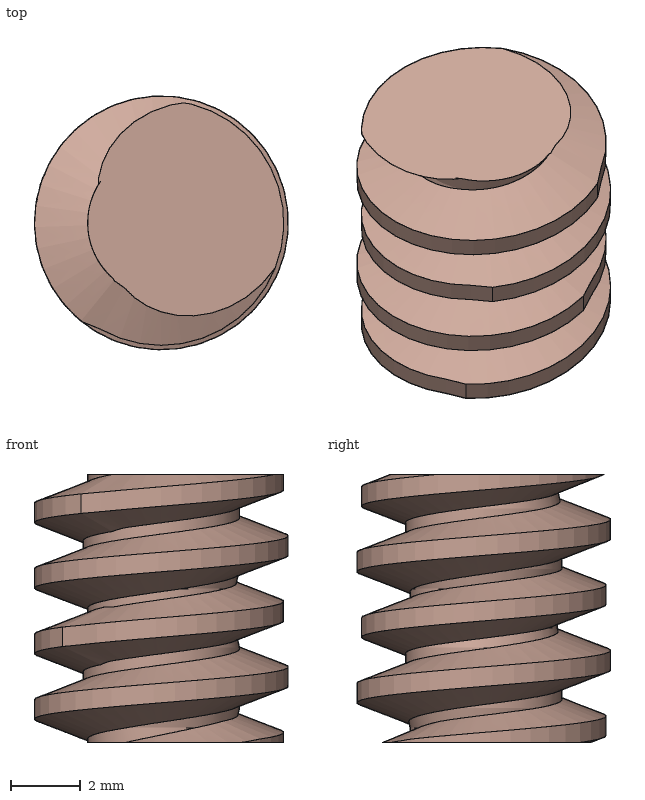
import cadquery as cq
import math

HEIGHT = 7.7
MID_HEIGHT = HEIGHT / 2

COLLAR_RADIUS = 4.49 / 2
RADIUS_STEP = 0.13
SHAFT_RADIUS = COLLAR_RADIUS - RADIUS_STEP
SHOULDER_LENGTH = 0.57
COLLAR_START = 0.42
COLLAR_LENGTH = 2.87
COLLAR_SPACING = HEIGHT - 2 * COLLAR_START - COLLAR_LENGTH

PITCH = 1.88
CREST_RADIUS = 3.645
CREST_WIDTH = 0.56
THREAD_DEPTH = CREST_RADIUS - COLLAR_RADIUS
FLANK_ANGLE = 20.5
BASE_OVERLAP = 0.2
SEGMENT_ANGLE = 9.76
MID_ANGLE = 15.0
RUNOUT_START = 770.0
RUNOUT_PITCH = 2.7

FULL_BAND_START = 0.8
FULL_BAND_END = 3.05


def make_core():
    """Revolve the shaft with its two collars about Z."""
    outline = cq.Workplane("XZ").lineTo(SHAFT_RADIUS, 0)
    for start in (COLLAR_START, COLLAR_START + COLLAR_SPACING):
        end = start + COLLAR_LENGTH
        outline = (
            outline.lineTo(SHAFT_RADIUS, start)
            .lineTo(COLLAR_RADIUS, start + SHOULDER_LENGTH)
            .lineTo(COLLAR_RADIUS, end - SHOULDER_LENGTH)
            .lineTo(SHAFT_RADIUS, end)
        )
    outline = outline.lineTo(SHAFT_RADIUS, HEIGHT).lineTo(0, HEIGHT).close()
    return outline.revolve(360, (0, 0, 0), (0, 1, 0))


def crest_radius(z):
    """Crest radius at height z; the lower and upper halves mirror each other."""
    height_in_half = min(z, HEIGHT - z)
    if FULL_BAND_START < height_in_half < FULL_BAND_END:
        return CREST_RADIUS
    return CREST_RADIUS - RADIUS_STEP


def thread_height(turn_angle):
    """Height of the thread's centre line; the pitch grows at both ends of the thread."""
    runout_angle = max(abs(turn_angle) - RUNOUT_START, 0)
    main_angle = abs(turn_angle) - runout_angle
    rise = (PITCH * main_angle + RUNOUT_PITCH * runout_angle) / 360
    return MID_HEIGHT + math.copysign(rise, turn_angle)


def thread_section(segment):
    """Trapezoidal wire across the thread, in the plane through the axis."""
    turn_angle = segment * SEGMENT_ANGLE
    angle = math.radians(MID_ANGLE + turn_angle)
    z = thread_height(turn_angle)
    outer = crest_radius(z)
    inner = outer - THREAD_DEPTH - BASE_OVERLAP
    outer_half = CREST_WIDTH / 2
    inner_half = outer_half + (outer - inner) * math.tan(math.radians(FLANK_ANGLE))
    corners = (
        (inner, -inner_half),
        (outer, -outer_half),
        (outer, outer_half),
        (inner, inner_half),
    )
    points = [cq.Vector(r * math.cos(angle), r * math.sin(angle), z + dz) for r, dz in corners]
    return cq.Wire.makePolygon(points, close=True)


def make_thread():
    """Join the sections with flat-sided segments, then trim to the worm's height."""
    travel = MID_HEIGHT + PITCH
    count = math.ceil(travel / PITCH * 360 / SEGMENT_ANGLE)
    sections = [thread_section(segment) for segment in range(-count, count + 1)]
    thread = cq.Workplane(cq.Solid.makeLoft(sections, True))
    trim_size = 3 * CREST_RADIUS
    trim = cq.Workplane("XY").box(trim_size, trim_size, HEIGHT, centered=(True, True, False))
    return thread.intersect(trim)


result = make_core().union(make_thread())